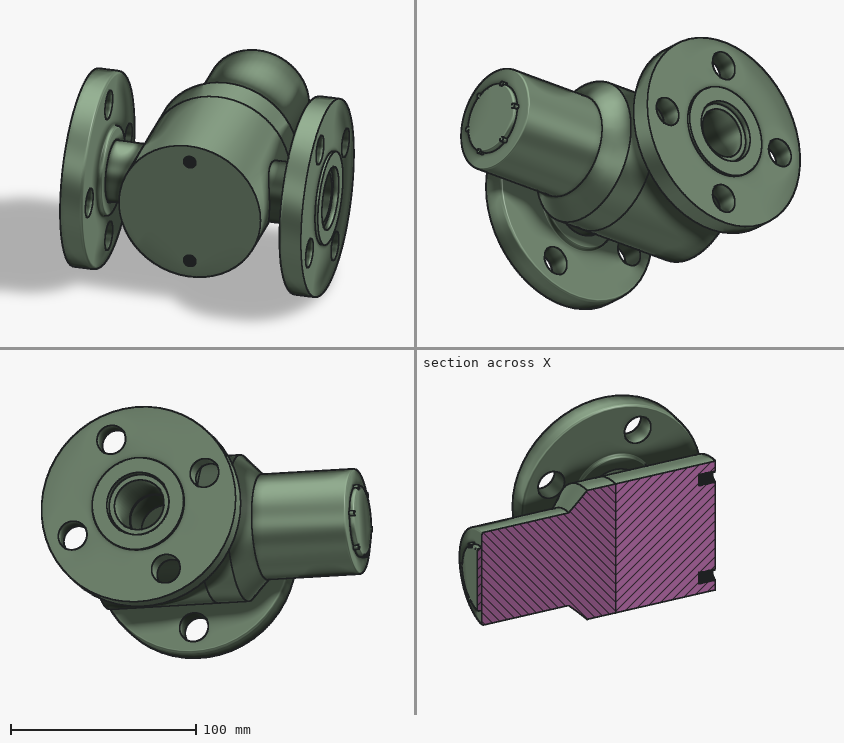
import cadquery as cq

flange_diameter = 108.0
overall_length = 161.9
face_to_face = 138.0

housing_diameter = 79.2
housing_front = -35.0
joint_position = 25.0

tap_spacing = 59.9
tap_minor_diameter = 5.3
tap_major_diameter = 6.8
tap_pitch = 1.0
tap_turns = 10

bonnet_diameter = housing_diameter
neck_diameter = 57.0
cone_start = 42.0
cone_end = cone_start + (bonnet_diameter - neck_diameter) / 2
neck_end = 105.0
neck_fillet = 1.1

cap_end = overall_length - flange_diameter / 2
cap_diameter = 38.5
cap_fillet = 1.3
lobe_count = 6
lobe_diameter = 2.8
lobe_circle_diameter = 38.0

raised_face_diameter = 50.8
raised_face_height = 1.6
flange_thickness = 12.5
flange_fillet = 1.6
flange_bore = 34.5
hub_diameter = 49.0
hub_height = 2.8
hub_fillet = 1.1
bolt_count = 4
bolt_circle_diameter = 79.3
bolt_hole_diameter = 15.9
bolt_turn = {-1: 0.0, 1: 22.5}

pipe_diameter = 33.4
pipe_bore = 27.5
pipe_end_recess = 3.0
pipe_outer_end = face_to_face / 2 - pipe_end_recess
socket_floor = 32.4

passage_diameter = 26.5
passage_floor = 8.1

SIDES = (-1, 1)


def cylinder_along_y(diameter, start, end):
    plane = cq.Workplane("XZ", origin=(0, start, 0))
    return plane.circle(diameter / 2).extrude(start - end)


def cylinder_along_x(diameter, start, end):
    plane = cq.Workplane("YZ", origin=(start, 0, 0))
    return plane.circle(diameter / 2).extrude(end - start)


def tapped_hole():
    """Blind hole along +Y from the housing front, its thread drawn as a stack of V-shaped rings."""
    minor_radius = tap_minor_diameter / 2
    major_radius = tap_major_diameter / 2
    hole_end = housing_front + tap_turns * tap_pitch
    profile = [(0, housing_front)]
    for turn in range(tap_turns):
        turn_start = housing_front + turn * tap_pitch
        profile.append((major_radius, turn_start))
        profile.append((minor_radius, turn_start + tap_pitch / 2))
    profile.append((major_radius, hole_end))
    profile.append((0, hole_end))
    return cq.Workplane("XY").polyline(profile).close().revolve(360, (0, 0, 0), (0, 1, 0))


def make_housing():
    body = cylinder_along_y(housing_diameter, housing_front, joint_position)
    for side in SIDES:
        body = body.cut(cylinder_along_x(pipe_diameter, side * socket_floor, side * housing_diameter))
        body = body.cut(cylinder_along_x(passage_diameter, side * passage_floor, side * socket_floor))
        body = body.cut(tapped_hole().translate((0, 0, side * tap_spacing / 2)))
    return body


def make_bonnet():
    profile = [
        (0, joint_position),
        (bonnet_diameter / 2, joint_position),
        (bonnet_diameter / 2, cone_start),
        (neck_diameter / 2, cone_end),
        (neck_diameter / 2, neck_end),
        (0, neck_end),
    ]
    body = cq.Workplane("XY").polyline(profile).close().revolve(360, (0, 0, 0), (0, 1, 0))
    return body.faces(">Y").edges().fillet(neck_fillet)


def make_cap():
    disc = cylinder_along_y(cap_diameter, neck_end, cap_end).faces(">Y").edges().fillet(cap_fillet)
    lobes = (
        cq.Workplane("XZ", origin=(0, neck_end, 0))
        .polarArray(lobe_circle_diameter / 2, 0, 360, lobe_count)
        .circle(lobe_diameter / 2)
        .extrude(neck_end - cap_end)
    )
    return disc.union(lobes)


def make_flange(side):
    """Flange on the +X side (side = 1) or its mirror image on the -X side (side = -1)."""
    face = face_to_face / 2
    plate_outer = face - raised_face_height
    plate_inner = plate_outer - flange_thickness
    hub_end = plate_inner - hub_height

    plate = cylinder_along_x(flange_diameter, plate_inner, plate_outer)
    plate = plate.faces("<X").edges().fillet(flange_fillet)
    hub = cylinder_along_x(hub_diameter, hub_end, plate_outer)
    body = plate.union(hub)
    rim = cq.selectors.BoxSelector(
        (hub_end - hub_fillet, -hub_diameter, -hub_diameter),
        (plate_inner + hub_fillet, hub_diameter, hub_diameter),
    )
    hub_edges = body.edges(rim).edges(cq.selectors.RadiusNthSelector(0))
    body = hub_edges.fillet(hub_fillet)

    body = body.union(cylinder_along_x(raised_face_diameter, plate_outer, face))
    body = body.cut(cylinder_along_x(flange_bore, hub_end, face))
    bolt_holes = (
        cq.Workplane("YZ", origin=(plate_inner, 0, 0))
        .polarArray(bolt_circle_diameter / 2, bolt_turn[side], 360, bolt_count)
        .circle(bolt_hole_diameter / 2)
        .extrude(flange_thickness)
    )
    body = body.cut(bolt_holes)
    return body if side > 0 else body.mirror("YZ")


def make_pipe(side):
    outside = cylinder_along_x(pipe_diameter, side * socket_floor, side * pipe_outer_end)
    return outside.cut(cylinder_along_x(pipe_bore, side * socket_floor, side * pipe_outer_end))


housing = make_housing()
bonnet = make_bonnet()
cap = make_cap()
flanges = [make_flange(side) for side in SIDES]
pipes = [make_pipe(side) for side in SIDES]

result = cq.Compound.makeCompound([
    housing.val(),
    bonnet.val(),
    cap.val(),
    *[flange.val() for flange in flanges],
    *[pipe.val() for pipe in pipes],
])